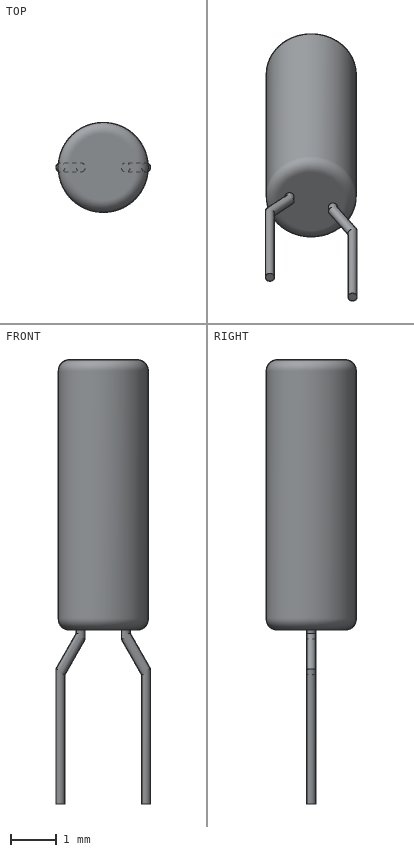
import cadquery as cq

can_diameter = 2.0
can_height = 6.0
can_edge_radius = 0.25

wire_width = 0.2
wire_edge_radius = 0.099
lead_length = 3.86
root_spacing = 1.0
tip_spacing = 1.9
stub_depth = 0.2
bend_step = 0.13
crank_drop = 0.79
root_height = can_edge_radius

crank_offset = (tip_spacing - root_spacing) / 2


def make_can():
    can = cq.Workplane("XY").circle(can_diameter / 2).extrude(can_height)
    return can.faces("<Z or >Z").edges().fillet(can_edge_radius)


def make_right_lead():
    """Lead on the +X side: an outline in XZ, thickened along Y, with rounded long edges."""
    near_root = (root_spacing - wire_width) / 2
    far_root = near_root + wire_width
    near_tip = near_root + crank_offset
    far_tip = far_root + crank_offset
    near_bend = -stub_depth
    far_bend = near_bend + bend_step

    outline = [
        (near_root, root_height),
        (near_root, near_bend),
        (near_tip, near_bend - crank_drop),
        (near_tip, -lead_length),
        (far_tip, -lead_length),
        (far_tip, far_bend - crank_drop),
        (far_root, far_bend),
        (far_root, root_height),
    ]
    lead = cq.Workplane("XZ").polyline(outline).close().extrude(wire_width / 2, both=True)
    long_edges = lead.faces("<Y or >Y").edges("not (<Z or >Z)")
    return long_edges.fillet(wire_edge_radius)


right_lead = make_right_lead()
left_lead = right_lead.mirror("YZ")
result = make_can().union(right_lead).union(left_lead)